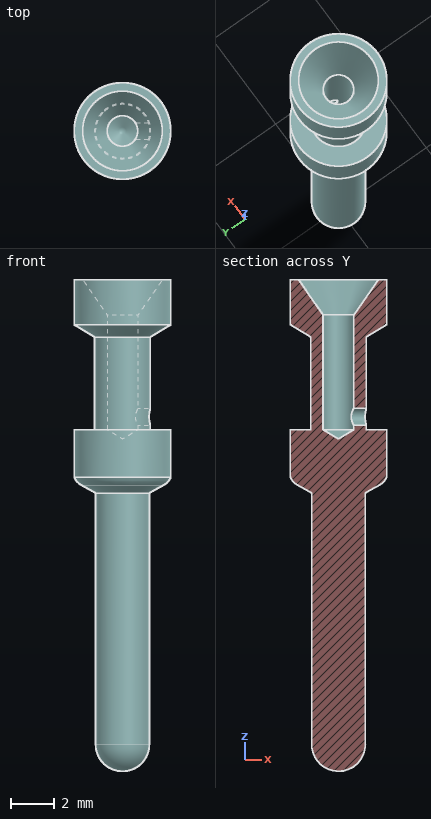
import cadquery as cq
import math

total_length = 22.8
head_bottom = 20.7
head_taper_bottom = 20.13
collar_top = 15.85
collar_bottom = 13.63
collar_taper_bottom = 12.9
collar_round_bottom = 13.27

flange_radius = 2.245
neck_radius = 1.3
pin_radius = 1.25
collar_cone_radius = 1.92

funnel_radius = 1.85
bore_radius = 0.7
funnel_depth = 1.65
bore_bottom = collar_top
drill_point_angle = 118.0

sight_hole_diameter = 0.78
sight_hole_height = 16.45

tip_arc_offset = pin_radius / 2**0.5
body = (
    cq.Workplane("XZ")
    .moveTo(0, 0)
    .threePointArc((tip_arc_offset, pin_radius - tip_arc_offset), (pin_radius, pin_radius))
    .lineTo(pin_radius, collar_taper_bottom)
    .lineTo(collar_cone_radius, collar_round_bottom)
    .tangentArcPoint((flange_radius, collar_bottom), relative=False)
    .lineTo(flange_radius, collar_top)
    .lineTo(neck_radius, collar_top)
    .lineTo(neck_radius, head_taper_bottom)
    .lineTo(flange_radius, head_bottom)
    .lineTo(flange_radius, total_length)
    .lineTo(0, total_length)
    .close()
    .revolve(360, (0, 0, 0), (0, 1, 0))
)

funnel_bottom = total_length - funnel_depth
drill_point_depth = bore_radius / math.tan(math.radians(drill_point_angle / 2))
wire_entry = (
    cq.Workplane("XZ")
    .moveTo(0, bore_bottom - drill_point_depth)
    .lineTo(bore_radius, bore_bottom)
    .lineTo(bore_radius, funnel_bottom)
    .lineTo(funnel_radius, total_length)
    .lineTo(0, total_length)
    .close()
    .revolve(360, (0, 0, 0), (0, 1, 0))
)

sight_hole = (
    cq.Workplane("YZ")
    .center(0, sight_hole_height)
    .circle(sight_hole_diameter / 2)
    .extrude(flange_radius)
)

result = body.cut(wire_entry).cut(sight_hole)